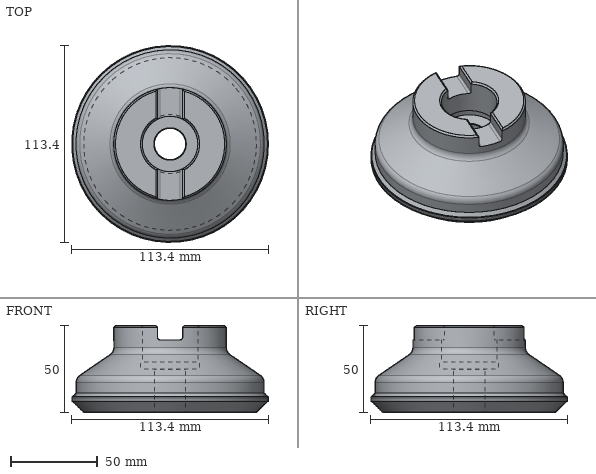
import cadquery as cq
import math

rim_radius = 56.7
total_height = 50.0

bottom_radius = 49.8
bottom_edge_chamfer = 0.3
bevel_radius = 56.1
lip_radius = 56.6
lower_lip_z = 6.2
band_bottom_z = 7.0
band_top_z = 8.0
upper_lip_z = 9.0
upper_bevel_z = 9.2
ring_top_z = 11.2

seat_z = upper_bevel_z
shoulder_radius = 108.5 / 2
shoulder_z = 19.9
hub_radius = 65.0 / 2
neck_z = 34.7
blend_radius = 5.0
edge_chamfer = 1.0

bore_diameter = 32.0
bore_depth = 25.0
relief_diameter = 34.0
relief_start_depth = 20.9
hole_diameter = 18.0
hole_chamfer = 0.3

slot_width = 14.4
slot_depth = 8.2
slot_fillet = 1.4

cone_angle = math.atan2(neck_z - shoulder_z, shoulder_radius - hub_radius)
turn_angle = math.pi / 2 - cone_angle
tangent_length = blend_radius * math.tan(turn_angle / 2)
tangent_dr = tangent_length * math.cos(cone_angle)
tangent_dz = tangent_length * math.sin(cone_angle)
mid_dr = blend_radius * (1 - math.cos(turn_angle / 2))
mid_dz = blend_radius * math.sin(turn_angle / 2)

bore_floor_z = total_height - bore_depth
relief_top_z = total_height - relief_start_depth
bore_radius = bore_diameter / 2
relief_radius = relief_diameter / 2
hole_radius = hole_diameter / 2


def slot_cutter():
    """Slot with rounded floor corners and flared upper edges."""
    floor_z = total_height - slot_depth
    slot = (
        cq.Workplane("XY")
        .box(slot_width, 2 * rim_radius, slot_depth, centered=(True, True, False))
        .edges("|Y and <Z")
        .fillet(slot_fillet)
        .translate((0, 0, floor_z))
    )
    half_width = slot_width / 2
    flare = (
        cq.Workplane("XZ")
        .moveTo(-half_width, total_height - edge_chamfer)
        .lineTo(half_width, total_height - edge_chamfer)
        .lineTo(half_width + edge_chamfer, total_height)
        .lineTo(-half_width - edge_chamfer, total_height)
        .close()
        .extrude(rim_radius, both=True)
    )
    return slot.union(flare)


def make_housing():
    """Turned housing with a stepped, undercut bore, seated in the rim ring."""
    shoulder_tangent_z = shoulder_z - tangent_length
    hub_tangent_z = neck_z + tangent_length
    body = (
        cq.Workplane("XZ")
        .moveTo(hole_radius, seat_z)
        .lineTo(shoulder_radius, seat_z)
        .lineTo(shoulder_radius, shoulder_tangent_z)
        .threePointArc(
            (shoulder_radius - mid_dr, shoulder_tangent_z + mid_dz),
            (shoulder_radius - tangent_dr, shoulder_z + tangent_dz),
        )
        .lineTo(hub_radius + tangent_dr, neck_z - tangent_dz)
        .threePointArc(
            (hub_radius + mid_dr, hub_tangent_z - mid_dz),
            (hub_radius, hub_tangent_z),
        )
        .lineTo(hub_radius, total_height - edge_chamfer)
        .lineTo(hub_radius - edge_chamfer, total_height)
        .lineTo(bore_radius + edge_chamfer, total_height)
        .lineTo(bore_radius, total_height - edge_chamfer)
        .lineTo(bore_radius, relief_top_z)
        .lineTo(relief_radius, relief_top_z)
        .lineTo(relief_radius, bore_floor_z)
        .lineTo(hole_radius + hole_chamfer, bore_floor_z)
        .lineTo(hole_radius, bore_floor_z - hole_chamfer)
        .close()
        .revolve(360, (0, 0, 0), (0, 1, 0))
    )
    return body.cut(slot_cutter())


def make_rim_ring():
    """Bevelled ring with a shallow recess that takes the foot of the housing."""
    return (
        cq.Workplane("XZ")
        .moveTo(hole_radius, 0)
        .lineTo(bottom_radius, 0)
        .lineTo(bottom_radius + bottom_edge_chamfer, bottom_edge_chamfer)
        .lineTo(bevel_radius, lower_lip_z)
        .lineTo(lip_radius, lower_lip_z)
        .lineTo(rim_radius, band_bottom_z)
        .lineTo(rim_radius, band_top_z)
        .lineTo(lip_radius, upper_lip_z)
        .lineTo(bevel_radius, upper_bevel_z)
        .lineTo(shoulder_radius, ring_top_z)
        .lineTo(shoulder_radius, seat_z)
        .lineTo(hole_radius, seat_z)
        .close()
        .revolve(360, (0, 0, 0), (0, 1, 0))
    )


housing = make_housing()
rim_ring = make_rim_ring()
result = cq.Compound.makeCompound([housing.val(), rim_ring.val()])